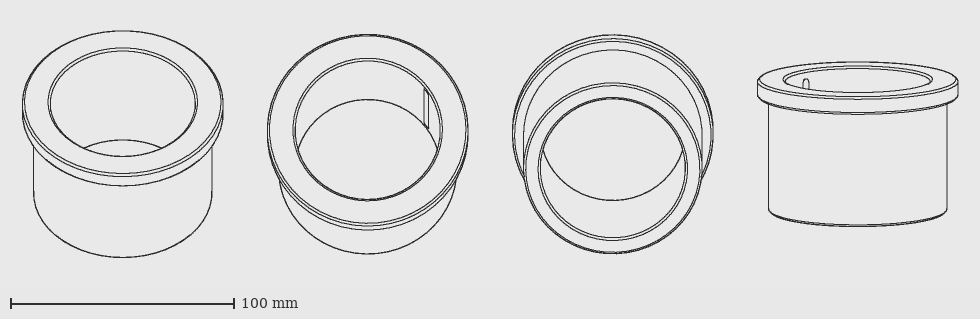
import cadquery as cq

flange_diameter = 90.0
body_diameter = 80.0
bore_diameter = 65.0
total_height = 60.0
flange_thickness = 8.0
edge_chamfer = 1.0
groove_radius = 1.8
groove_end_margin = 4.0

body = (
    cq.Workplane("XY")
    .circle(body_diameter / 2)
    .extrude(total_height)
    .faces("<Z")
    .chamfer(edge_chamfer)
)

flange = (
    cq.Workplane("XY")
    .workplane(offset=total_height - flange_thickness)
    .circle(flange_diameter / 2)
    .extrude(flange_thickness)
    .faces("<Z or >Z")
    .chamfer(edge_chamfer)
)

bore = cq.Workplane("XY").circle(bore_diameter / 2).extrude(total_height)
mouth = (
    cq.Workplane("XY")
    .circle(bore_diameter / 2 + edge_chamfer)
    .workplane(offset=edge_chamfer)
    .circle(bore_diameter / 2)
    .loft()
)
top_mouth = mouth.mirror("XY").translate((0, 0, total_height))

groove_axis_x = bore_diameter / 2
lower_center_z = groove_end_margin + groove_radius
upper_center_z = total_height - lower_center_z
groove = (
    cq.Workplane("XY")
    .workplane(offset=lower_center_z)
    .center(groove_axis_x, 0)
    .circle(groove_radius)
    .extrude(upper_center_z - lower_center_z)
)
for center_z in (lower_center_z, upper_center_z):
    ball_end = cq.Workplane("XY").sphere(groove_radius)
    groove = groove.union(ball_end.translate((groove_axis_x, 0, center_z)))

result = body.union(flange).cut(bore).cut(mouth).cut(top_mouth).cut(groove)